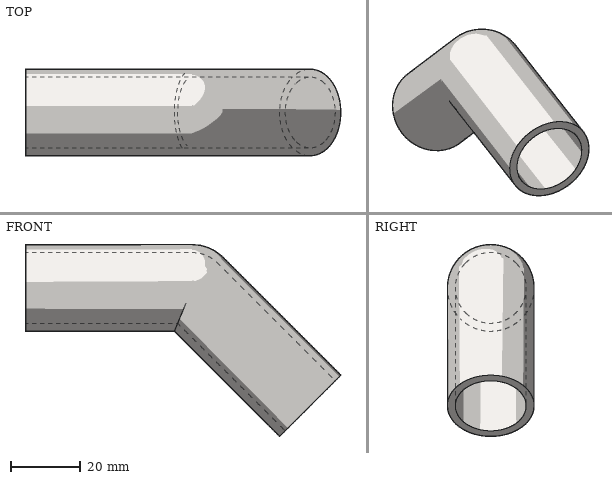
import cadquery as cq
import math

outer_diameter = 25.0
bore_diameter = 20.4
leg_length = 48.0
bend_angle = 45.0

bend_center = cq.Vector(0, 0, 0)
bend_radians = math.radians(bend_angle)
inlet_direction = cq.Vector(-1, 0, 0)
outlet_direction = cq.Vector(math.cos(bend_radians), 0, -math.sin(bend_radians))


def bent_rod(diameter):
    """Two equal round legs meeting at the bend, with a ball closing the outer corner."""
    radius = diameter / 2
    ball = cq.Workplane("XY").sphere(radius).translate(bend_center)
    inlet_leg = cq.Solid.makeCylinder(radius, leg_length, bend_center, inlet_direction)
    outlet_leg = cq.Solid.makeCylinder(radius, leg_length, bend_center, outlet_direction)
    return ball.union(inlet_leg).union(outlet_leg)


result = bent_rod(outer_diameter).cut(bent_rod(bore_diameter))